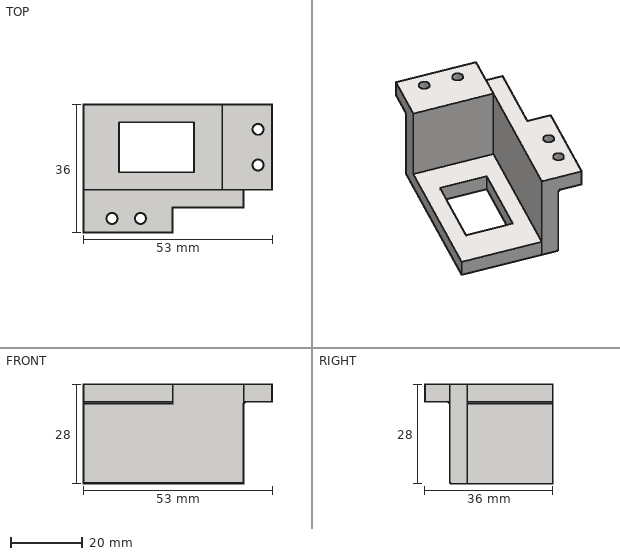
import cadquery as cq

total_length = 53.0
height = 28.0
plate_thickness = 5.0
corner_chamfer = 0.5
bottom_chamfer = 0.35

body_length = 45.0
bracket_depth = 24.0
wall_thickness = 6.0
wall_left = body_length - wall_thickness

window_length = 21.0
window_width = 14.0
window_left = 10.0
window_front = 5.0

front_total_depth = 12.0
front_flange_length = 25.0

hole_diameter = 3.0
end_hole_x = 49.0
end_hole_front_y = 7.0
end_hole_spacing = 10.0
front_hole_y = -8.0
front_hole_left_x = 8.0
front_hole_spacing = 8.0

flange_bottom = height - plate_thickness


def drill_holes(body, centers):
    """Drill vertical screw holes through a flange."""
    drills = (
        cq.Workplane("XY")
        .workplane(offset=flange_bottom)
        .pushPoints(centers)
        .circle(hole_diameter / 2)
        .extrude(plate_thickness)
    )
    return body.cut(drills)


def make_bracket():
    """Base plate with a window, rising into an end wall and outward flange."""
    profile = (
        cq.Workplane("XZ")
        .moveTo(0, 0)
        .lineTo(body_length, 0)
        .lineTo(body_length, flange_bottom - corner_chamfer)
        .lineTo(body_length + corner_chamfer, flange_bottom)
        .lineTo(total_length, flange_bottom)
        .lineTo(total_length, height)
        .lineTo(wall_left, height)
        .lineTo(wall_left, plate_thickness)
        .lineTo(0, plate_thickness)
        .close()
    )
    body = profile.extrude(-bracket_depth)
    window = cq.Workplane("XY").box(
        window_length, window_width, plate_thickness, centered=False
    ).translate((window_left, window_front, 0))
    end_holes = [
        (end_hole_x, end_hole_front_y),
        (end_hole_x, end_hole_front_y + end_hole_spacing),
    ]
    return drill_holes(body.cut(window), end_holes)


def make_front_plate():
    """Upright plate along the bracket's front, with a shorter flange at its top."""
    plate = (
        cq.Workplane("YZ")
        .moveTo(0, 0)
        .lineTo(bottom_chamfer - plate_thickness, 0)
        .lineTo(-plate_thickness, bottom_chamfer)
        .lineTo(-plate_thickness, height)
        .lineTo(0, height)
        .close()
        .extrude(body_length)
    )
    flange = (
        cq.Workplane("YZ")
        .moveTo(-plate_thickness, height)
        .lineTo(-front_total_depth, height)
        .lineTo(-front_total_depth, flange_bottom)
        .lineTo(-plate_thickness - corner_chamfer, flange_bottom)
        .lineTo(-plate_thickness, flange_bottom - corner_chamfer)
        .close()
        .extrude(front_flange_length)
    )
    front_holes = [
        (front_hole_left_x, front_hole_y),
        (front_hole_left_x + front_hole_spacing, front_hole_y),
    ]
    return drill_holes(plate.union(flange), front_holes)


bracket = make_bracket()
front_plate = make_front_plate()
result = cq.Compound.makeCompound([bracket.val(), front_plate.val()])